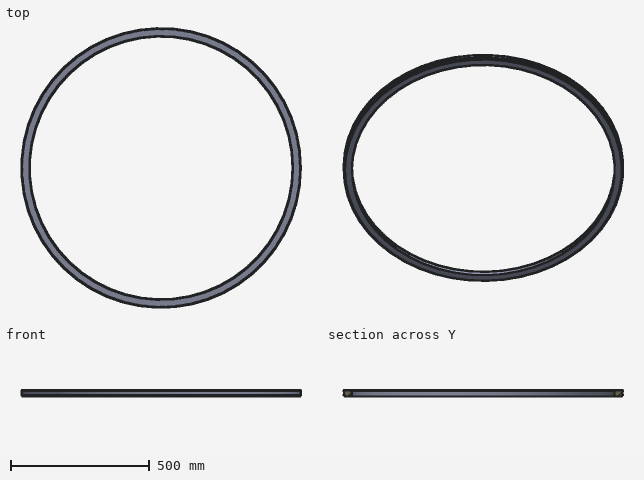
import cadquery as cq

outer_diameter = 1008.0
inner_diameter = 948.0
height = 23.0

top_chamfer = 2.0

lip_inset = 3.0
lip_height = 3.0
bottom_chamfer = 2.0

outer_radius = outer_diameter / 2
inner_radius = inner_diameter / 2
lip_radius = outer_radius - lip_inset

section_points = [
    (inner_radius, 0),
    (lip_radius - bottom_chamfer, 0),
    (lip_radius, bottom_chamfer),
    (lip_radius, lip_height),
    (outer_radius, lip_height + lip_inset),
    (outer_radius, height - top_chamfer),
    (outer_radius - top_chamfer, height),
    (inner_radius + top_chamfer, height),
    (inner_radius, height - top_chamfer),
]

section = cq.Workplane("XZ").polyline(section_points).close()
result = section.revolve(360, (0, 0, 0), (0, 1, 0))